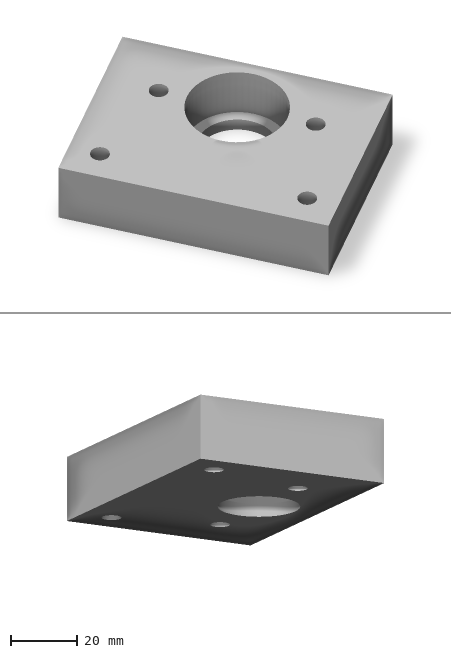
import cadquery as cq

length = 86.0
width = 63.0
thickness = 20.0

bore_diameter = 25.0
counterbore_diameter = 32.0
counterbore_depth = 16.0
bore_edge_distance = 20.0
bore_y = width / 2 - bore_edge_distance

hole_diameter = 6.0
upper_hole_spacing = 50.0
lower_hole_spacing = 66.0
lower_hole_edge_distance = 10.0
lower_hole_y = lower_hole_edge_distance - width / 2

hole_centers = [
    (side * spacing / 2, y)
    for spacing, y in [(upper_hole_spacing, bore_y), (lower_hole_spacing, lower_hole_y)]
    for side in (-1, 1)
]

plate = cq.Workplane("XY").box(length, width, thickness, centered=(True, True, False))

result = (
    plate.faces(">Z")
    .workplane(origin=(0, 0, thickness))
    .pushPoints([(0, bore_y)])
    .cboreHole(bore_diameter, counterbore_diameter, counterbore_depth)
    .faces(">Z")
    .workplane(origin=(0, 0, thickness))
    .pushPoints(hole_centers)
    .hole(hole_diameter)
)